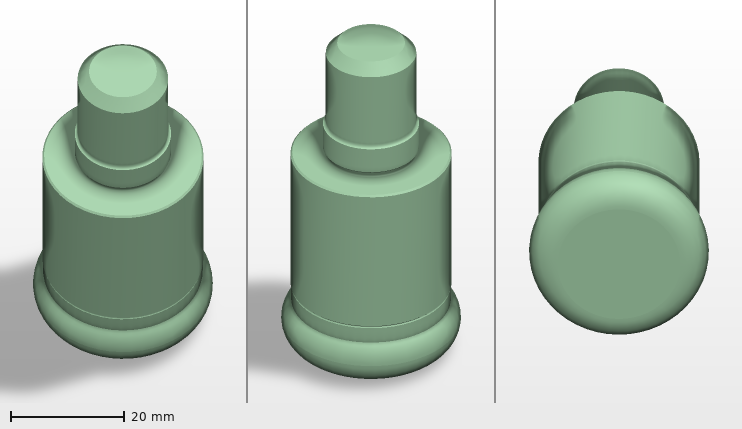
import cadquery as cq
import math

total_height = 63.0
body_top = 40.0

foot_radius = 15.9
bead_radius = 5.05
bead_center = foot_radius - bead_radius

body_radius = 14.25
body_top_chamfer = 0.3
neck_radius = 14.1
neck_bottom = bead_radius + math.sqrt(bead_radius**2 - (neck_radius - bead_center) ** 2)
groove_radius = 13.9
groove_height = 12.1

shank_radius = 8.0
shank_chamfer = 2.0
collar_radius = 8.5
collar_bottom = 41.2
collar_top = 46.05
collar_bottom_chamfer = 0.3
collar_fillet = 0.8
relief_radius = 8.0
relief_fillet = 0.3


def revolve_profile(profile):
    """Turn a closed half profile (radius, height) about the Z axis."""
    return profile.close().revolve(360, (0, 0, 0), (0, 1, 0))


def make_foot():
    """Bead whose round flank runs from the flat bottom up to the rim of the neck."""
    diagonal = bead_radius * math.sqrt(0.5)
    shoulder_angle = math.atan2(neck_bottom - bead_radius, neck_radius - bead_center) / 2
    shoulder_middle = (
        bead_center + bead_radius * math.cos(shoulder_angle),
        bead_radius + bead_radius * math.sin(shoulder_angle),
    )
    profile = (
        cq.Workplane("XZ")
        .lineTo(bead_center, 0)
        .threePointArc((bead_center + diagonal, bead_radius - diagonal), (foot_radius, bead_radius))
        .threePointArc(shoulder_middle, (neck_radius, neck_bottom))
        .lineTo(0, neck_bottom)
    )
    return revolve_profile(profile)


def make_body():
    """Neck, body cylinder and stud, turned as one piece."""
    fillet_center = shank_radius + collar_fillet
    fillet_drop_angle = math.acos((fillet_center - collar_radius) / collar_fillet)
    fillet_top = collar_top + collar_fillet * math.sin(fillet_drop_angle)
    fillet_middle = (
        fillet_center - collar_fillet * math.cos(fillet_drop_angle / 2),
        fillet_top - collar_fillet * math.sin(fillet_drop_angle / 2),
    )
    relief_middle_offset = relief_fillet * (1 - math.sqrt(0.5))
    collar_edge_radius = collar_radius - collar_bottom_chamfer
    profile = (
        cq.Workplane("XZ")
        .moveTo(0, neck_bottom)
        .lineTo(neck_radius, neck_bottom)
        .lineTo(neck_radius, groove_height - (neck_radius - groove_radius))
        .lineTo(groove_radius, groove_height)
        .lineTo(body_radius, groove_height + (body_radius - groove_radius))
        .lineTo(body_radius, body_top - body_top_chamfer)
        .lineTo(body_radius - body_top_chamfer, body_top)
        .lineTo(relief_radius + relief_fillet, body_top)
        .threePointArc(
            (relief_radius + relief_middle_offset, body_top + relief_middle_offset),
            (relief_radius, body_top + relief_fillet),
        )
        .lineTo(relief_radius, collar_bottom - collar_bottom_chamfer)
        .lineTo(collar_edge_radius, collar_bottom - collar_bottom_chamfer)
        .lineTo(collar_radius, collar_bottom)
        .lineTo(collar_radius, collar_top)
        .threePointArc(fillet_middle, (shank_radius, fillet_top))
        .lineTo(shank_radius, total_height - shank_chamfer)
        .lineTo(shank_radius - shank_chamfer, total_height)
        .lineTo(0, total_height)
    )
    return revolve_profile(profile)


foot = make_foot()
body = make_body()
result = cq.Compound.makeCompound([foot.val(), body.val()])